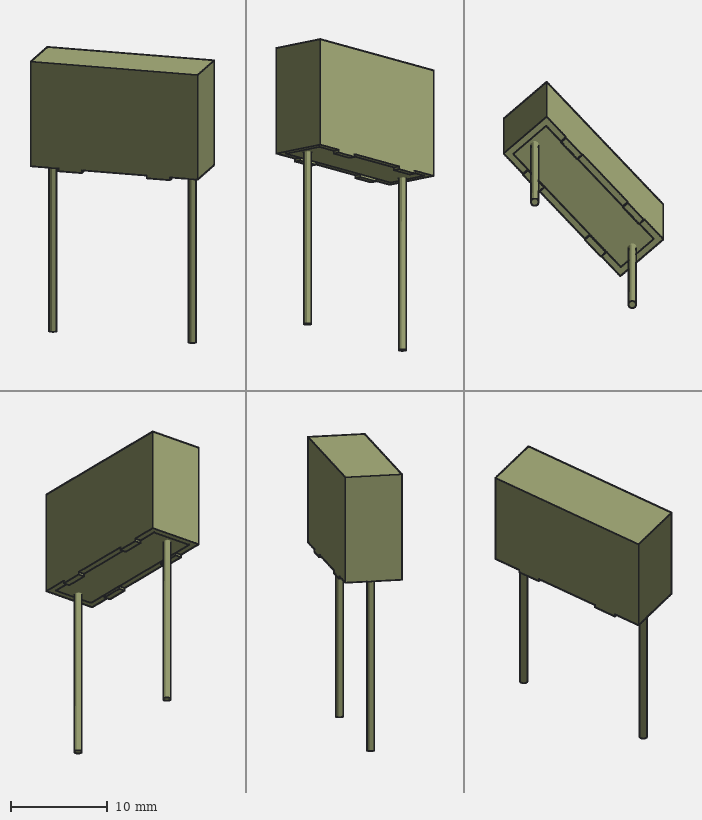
import cadquery as cq

OVERALL_LENGTH = 18.0
OVERALL_WIDTH = 6.0
OVERALL_HEIGHT = 29.5

HOUSING_HEIGHT = 11.2
WALL = 0.7
HOUSING_BOTTOM = OVERALL_HEIGHT - HOUSING_HEIGHT

FOOT_LENGTH = 2.5
FOOT_HEIGHT = 0.3
FOOT_SPACING = 9.53

FILLING_LENGTH = OVERALL_LENGTH - 2 * WALL
FILLING_WIDTH = OVERALL_WIDTH - 2 * WALL
FILLING_HEIGHT = HOUSING_HEIGHT - WALL
LEAD_DIAMETER = 0.8
LEAD_PITCH = 15.02
LEAD_ROOT_FILLET = 0.1


def make_block(length, width, height):
    """Box centred on the Z axis that stands on the level of the housing rim."""
    return (
        cq.Workplane("XY")
        .workplane(offset=HOUSING_BOTTOM)
        .rect(length, width)
        .extrude(height)
    )


def make_feet():
    """Four feet, as thick as the wall and flush with both of its faces."""
    return (
        cq.Workplane("XY")
        .workplane(offset=HOUSING_BOTTOM)
        .rarray(FOOT_SPACING, OVERALL_WIDTH - WALL, 2, 2)
        .rect(FOOT_LENGTH, WALL)
        .extrude(-FOOT_HEIGHT)
    )


def make_housing():
    """Cup with four feet; its cavity has the same shape as the filling."""
    box = make_block(OVERALL_LENGTH, OVERALL_WIDTH, HOUSING_HEIGHT)
    cavity = make_block(FILLING_LENGTH, FILLING_WIDTH, FILLING_HEIGHT)
    return box.cut(cavity).union(make_feet())


def make_filling_with_leads():
    """Filling flush with the housing rim, and its two leads with rounded roots."""
    filling = make_block(FILLING_LENGTH, FILLING_WIDTH, FILLING_HEIGHT)
    leads = (
        cq.Workplane("XY")
        .rarray(LEAD_PITCH, 0.3, 2, 1)
        .circle(LEAD_DIAMETER / 2)
        .extrude(HOUSING_BOTTOM)
    )
    lead_roots = cq.selectors.BoxSelector(
        (-OVERALL_LENGTH, -LEAD_DIAMETER, HOUSING_BOTTOM - LEAD_DIAMETER),
        (OVERALL_LENGTH, LEAD_DIAMETER, HOUSING_BOTTOM + LEAD_DIAMETER),
    )
    return filling.union(leads).edges("%CIRCLE").edges(lead_roots).fillet(LEAD_ROOT_FILLET)


housing = make_housing()
filling_with_leads = make_filling_with_leads()

result = cq.Compound.makeCompound([*housing.vals(), *filling_with_leads.vals()])